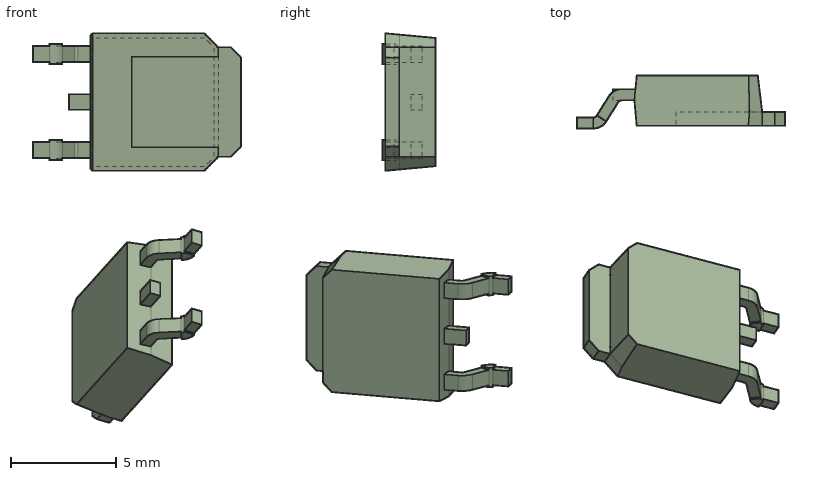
import cadquery as cq
import math


total_length = 9.9
housing_depth = 2.4
parting_depth = housing_depth / 2
housing_left = 2.73
left_taper = 0.11
front_half_height = 6.54 / 2
back_half_height = 3.05
housing_right = 8.81
right_taper = 0.21

tab_thickness = 0.67
tab_half_height = 2.6
tab_chamfer = 0.495
pad_left = 4.69
pad_half_height = 2.16

lead_thickness = 0.53
lead_width = 0.77
lead_spacing = 4.56
foot_length = 0.78
foot_bottom = -0.13
shoulder_bottom = 1.21
bend_inner_radius = 0.2
bend_angle = 58.0
bend_width = 0.96
middle_lead_left = 1.71
middle_lead_width = 0.75


def end_outline(depth, right):
    """Closed outline in the plane Y = depth, with both right corners cut at 45 degrees."""
    corner = front_half_height - tab_half_height
    points = [
        (0, -front_half_height),
        (right - corner, -front_half_height),
        (right, -tab_half_height),
        (right, tab_half_height),
        (right - corner, front_half_height),
        (0, front_half_height),
    ]
    return cq.Wire.makePolygon([cq.Vector(x, depth, z) for x, z in points], close=True)


def make_housing_block():
    """Housing before the tab recess is cut: the common volume of three tapered shapes."""
    side_profile = (
        cq.Workplane("XY")
        .moveTo(housing_left + left_taper, 0)
        .lineTo(total_length, 0)
        .lineTo(total_length, housing_depth)
        .lineTo(housing_left + left_taper, housing_depth)
        .lineTo(housing_left, parting_depth)
        .close()
        .extrude(front_half_height, both=True)
    )
    height_profile = (
        cq.Workplane("YZ")
        .moveTo(0, -front_half_height)
        .lineTo(housing_depth, -back_half_height)
        .lineTo(housing_depth, back_half_height)
        .lineTo(0, front_half_height)
        .close()
        .extrude(total_length)
    )
    front_outline = end_outline(0, housing_right)
    step_outline = end_outline(tab_thickness, housing_right)
    back_outline = end_outline(housing_depth, housing_right - right_taper)
    upright_end = cq.Solid.makeLoft([front_outline, step_outline], True)
    sloped_end = cq.Solid.makeLoft([step_outline, back_outline], True)
    end_shape = cq.Workplane(upright_end).union(cq.Workplane(sloped_end))
    return side_profile.intersect(height_profile).intersect(end_shape)


def make_tab():
    """Flat plate: a narrow pad in the housing and a wider, chamfered end outside it."""
    pad_length = housing_right - pad_left
    end_length = total_length - housing_right
    pad = cq.Workplane("XY").box(
        pad_length, tab_thickness, 2 * pad_half_height, centered=(False, False, True)
    ).translate((pad_left, 0, 0))
    end = cq.Workplane("XY").box(
        end_length, tab_thickness, 2 * tab_half_height, centered=(False, False, True)
    ).edges(">X and |Y").chamfer(tab_chamfer).translate((housing_right, 0, 0))
    return pad.union(end)


def arc_point(center, radius, degrees):
    angle = math.radians(degrees)
    return (center[0] + radius * math.cos(angle), center[1] + radius * math.sin(angle))


def make_formed_lead(z_center):
    """Z-shaped lead with two equal bends, its shoulder ending flush with the housing."""
    inner = bend_inner_radius
    outer = inner + lead_thickness
    angle = math.radians(bend_angle)
    rise = shoulder_bottom - foot_bottom
    radius_sum = inner + outer
    slant_length = (rise - radius_sum * (1 - math.cos(angle))) / math.sin(angle)
    run = radius_sum * math.sin(angle) + slant_length * math.cos(angle)
    foot_top = foot_bottom + lead_thickness
    shoulder_top = shoulder_bottom + lead_thickness

    low = (foot_length, foot_top + inner)
    high = (foot_length + run, shoulder_bottom - inner)
    low_start, low_end = -90, -90 + bend_angle
    high_start, high_end = 90 + bend_angle, 90
    low_middle = (low_start + low_end) / 2
    high_middle = (high_start + high_end) / 2

    strip = (
        cq.Workplane("XY")
        .moveTo(0, foot_bottom)
        .lineTo(foot_length, foot_bottom)
        .threePointArc(arc_point(low, outer, low_middle), arc_point(low, outer, low_end))
        .lineTo(*arc_point(high, inner, high_start))
        .threePointArc(arc_point(high, inner, high_middle), arc_point(high, inner, high_end))
        .lineTo(housing_left + left_taper, shoulder_bottom)
        .lineTo(housing_left + left_taper, shoulder_top)
        .lineTo(high[0], shoulder_top)
        .threePointArc(arc_point(high, outer, high_middle), arc_point(high, outer, high_start))
        .lineTo(*arc_point(low, inner, low_end))
        .threePointArc(arc_point(low, inner, low_middle), arc_point(low, inner, low_start))
        .lineTo(0, foot_top)
        .close()
        .extrude(lead_width / 2, both=True)
    )
    wide_bend = (
        cq.Workplane("XY")
        .moveTo(foot_length, foot_bottom)
        .threePointArc(arc_point(low, outer, low_middle), arc_point(low, outer, low_end))
        .lineTo(*arc_point(low, inner, low_end))
        .threePointArc(arc_point(low, inner, low_middle), arc_point(low, inner, low_start))
        .close()
        .extrude(bend_width / 2, both=True)
    )
    return strip.union(wide_bend).translate((0, 0, z_center)).cut(housing_block)


def make_middle_lead():
    """Short straight lead, ending flush with the housing."""
    length = housing_left + left_taper - middle_lead_left
    bar = cq.Workplane("XY").box(
        length, lead_thickness, middle_lead_width, centered=(False, False, True)
    )
    return bar.translate((middle_lead_left, shoulder_bottom, 0)).cut(housing_block)


housing_block = make_housing_block()
tab = make_tab()
housing = housing_block.cut(tab)
middle_lead = make_middle_lead()
formed_leads = [make_formed_lead(side * lead_spacing / 2) for side in (-1, 1)]

bodies = [housing, tab, middle_lead, *formed_leads]
result = cq.Compound.makeCompound([body.solids().val() for body in bodies])